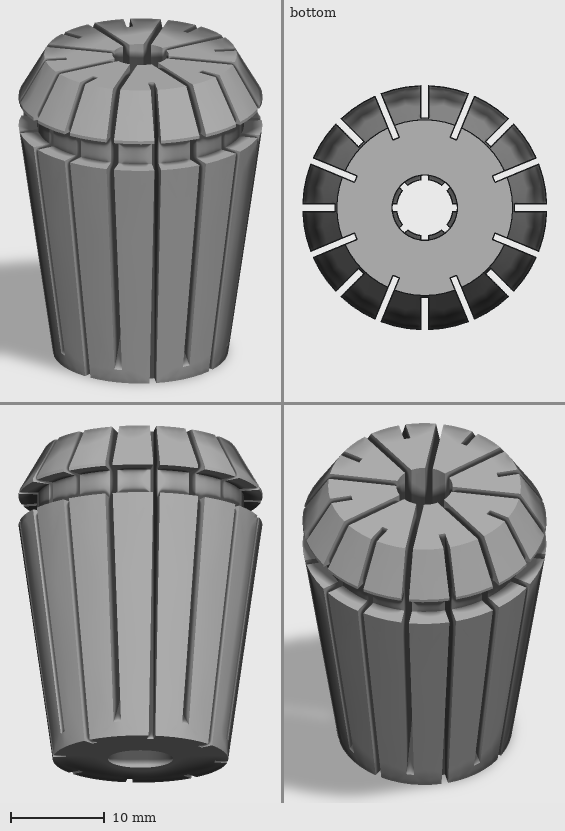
import cadquery as cq
import math

length = 34.0
rim_radius = 13.0
taper_angle = 8.0
nose_angle = 30.0
taper_height = 25.87
groove_top = 28.95
groove_radius = 11.0
rim_band = 0.35

bore_radius = 3.0
relief_radius = 3.47
relief_depth = 17.0

slot_pairs = 8
slot_width = 0.8
floor_outer_height = 1.53
floor_inner_height = 10.35
floor_curve_radius = 34.0
short_slot_width = 0.7
short_slot_inner_radius = 7.95
clearance = 1.7


def taper_radius(height):
    """Outer radius of the clamping taper at a given height."""
    return rim_radius - (taper_height - height) * math.tan(math.radians(taper_angle))


def make_body():
    nose_base = groove_top + rim_band
    nose_radius = rim_radius - (length - nose_base) * math.tan(math.radians(nose_angle))
    profile = [
        (0, 0),
        (taper_radius(0), 0),
        (rim_radius, taper_height),
        (groove_radius, taper_height),
        (groove_radius, groove_top),
        (rim_radius, groove_top),
        (rim_radius, nose_base),
        (nose_radius, length),
        (0, length),
    ]
    return cq.Workplane("XZ").polyline(profile).close().revolve(360, (0, 0), (0, 1))


def make_bore():
    bore = cq.Workplane("XY").circle(bore_radius).extrude(length)
    relief = cq.Workplane("XY").circle(relief_radius).extrude(relief_depth)
    return bore.union(relief)


def make_long_slot():
    """Slot from the bore outwards, open at the nose, with a concave curved floor."""
    inner = (relief_radius, floor_inner_height)
    outer = (taper_radius(floor_outer_height), floor_outer_height)
    run = outer[0] - inner[0]
    rise = inner[1] - outer[1]
    chord = math.hypot(run, rise)
    sag = floor_curve_radius - math.sqrt(floor_curve_radius**2 - (chord / 2) ** 2)
    floor_middle = (
        (inner[0] + outer[0]) / 2 - sag * rise / chord,
        (inner[1] + outer[1]) / 2 - sag * run / chord,
    )
    reach = rim_radius + clearance
    return (
        cq.Workplane("XZ")
        .moveTo(0, floor_inner_height)
        .lineTo(*inner)
        .threePointArc(floor_middle, outer)
        .lineTo(reach, floor_outer_height)
        .lineTo(reach, length + clearance)
        .lineTo(0, length + clearance)
        .close()
        .extrude(slot_width / 2, both=True)
    )


def make_short_slot():
    """Slot in the outer wall only, running the full length of the body."""
    depth = rim_radius + clearance - short_slot_inner_radius
    return (
        cq.Workplane("XY")
        .box(depth, short_slot_width, length, centered=(False, True, False))
        .translate((short_slot_inner_radius, 0, 0))
    )


result = make_body().cut(make_bore())

long_slot = make_long_slot()
short_slot = make_short_slot()
slot_pitch = 360 / slot_pairs
for index in range(slot_pairs):
    angle = index * slot_pitch
    result = result.cut(long_slot.rotate((0, 0, 0), (0, 0, 1), angle))
    result = result.cut(short_slot.rotate((0, 0, 0), (0, 0, 1), angle + slot_pitch / 2))